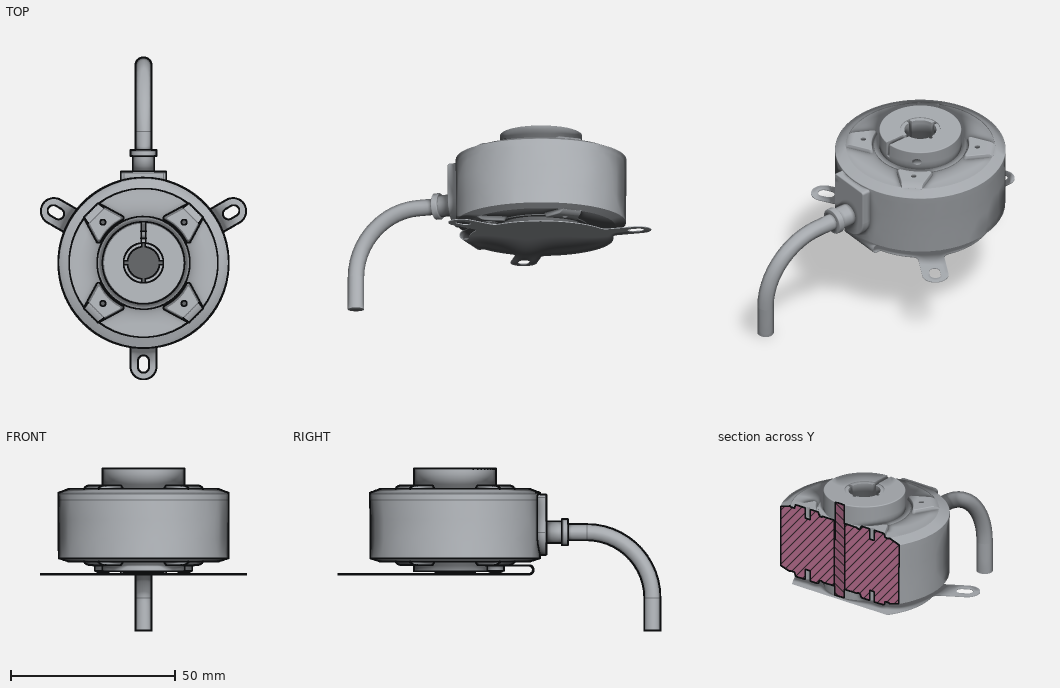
import cadquery as cq
import math

housing_height = 22.3
rim_radius = 26.0
barrel_base_radius = 25.9
face_radius = 22.65
base_bevel_height = 1.1
parting_height = 18.9
top_bevel_height = 1.3
rim_round = 0.3
ring_radius = 14.1
recess_depth = 0.3

pad_rise = 1.0
pad_inner_radius = 14.5
pad_inner_half_width = 6.0
pad_outer_half_width = 3.1
pad_flat_end = 20.3
pad_outer_end = 22.65
pad_ramp_bulge = 0.2
pad_side_taper = 15
pad_corner_round = 0.8
pad_top_round = 0.3
pad_hole_radius = 0.83
pad_hole_depth = 3.4
screw_offset = 12.4
pad_angles = [45, 135, 225, 315]

block_half_width = 7.0
block_top = 20.5
block_face = 27.8
block_root = 20.6
block_corner_round = 0.9
block_face_round = 0.4
cable_axis_height = 9.0

hub_diameter = 25.0
hub_top = 28.5
hub_bottom = -2.9
hub_edge_round = 0.3
hub_slot_width = 1.5
hub_slot_depth = 4.9
clamp_axis_y = 8.5
clamp_axis_height = 25.0
clamp_screw_radius = 1.1
clamp_screw_half_length = 7.4

sleeve_radius = 6.1
sleeve_recess = 0.3
sleeve_bore_radius = 4.9
sleeve_bottom = -3.2
sleeve_floor = 1.0
slit_width = 1.2

cable_diameter = 5.0
bend_radius = 20.0
cable_drop = 10.0
cable_reach = 62.6
nipple_radius = 3.3
collar_radius = 4.0
collar_start = 32.5
collar_length = 2.0
collar_round = 0.3

sheet = 0.25
plate_bottom = -3.9
plate_radius = 22.1
ear_half_width = 4.0
ear_centre_radius = 31.5
ear_root_round = 2.0
ear_angles = [-90, 30, 150]
ear_slot_width = 3.3
ear_slot_length = 5.2
ear_slot_radius = 30.8
fold_half_width = 7.0
fold_end = 23.9
leaf_lobe_radius = 2.9
leaf_clearance_radius = 13.3

head_radius = 2.55
head_height = 2.0
head_crown_height = 0.5
head_tip_radius = 1.5
shank_length = 2.9

hub_radius = hub_diameter / 2
cable_radius = cable_diameter / 2
sleeve_top = hub_top - sleeve_recess
bend_start = cable_reach - cable_radius - bend_radius
pad_base = housing_height - recess_depth
pad_height = pad_rise + recess_depth
pad_underside = -pad_rise
leaf_bottom = pad_underside - sheet
fold_radius = (pad_underside - plate_bottom) / 2
fold_centre_y = fold_end - fold_radius
fold_centre_z = plate_bottom + fold_radius
screw_places = [(-screw_offset, screw_offset), (screw_offset, screw_offset)]


def cylinder_up(radius, bottom, top, x=0, y=0):
    """Upright cylinder between two heights."""
    return cq.Workplane("XY", origin=(x, y, bottom)).circle(radius).extrude(top - bottom)


def housing_shell():
    """Turned outer form: base bevel, slightly tapered barrel, straight rim and top bevel."""
    rim_top = housing_height - top_bevel_height
    shell = (
        cq.Workplane("XZ")
        .moveTo(0, 0)
        .lineTo(face_radius, 0)
        .lineTo(barrel_base_radius, base_bevel_height)
        .lineTo(rim_radius, parting_height)
        .lineTo(rim_radius, rim_top)
        .lineTo(face_radius, housing_height)
        .lineTo(0, housing_height)
        .close()
        .revolve(360, (0, 0, 0), (0, 1, 0))
    )
    rim_edge = cq.selectors.BoxSelector(
        (-rim_radius, -rim_radius, rim_top - rim_round),
        (rim_radius, rim_radius, rim_top + rim_round),
    )
    return shell.edges(rim_edge).fillet(rim_round)


def screw_pad():
    """Pad on the top face along +X: drafted sides, concave inner end and a ramp at the outer end."""
    inner_corner_x = math.sqrt(pad_inner_radius**2 - pad_inner_half_width**2)
    side_slope = (pad_inner_half_width - pad_outer_half_width) / (pad_outer_end - inner_corner_x)
    far_half_width = pad_outer_half_width - side_slope * (rim_radius - pad_outer_end)
    drafted = (
        cq.Workplane("XY", origin=(0, 0, pad_base))
        .moveTo(rim_radius, -far_half_width)
        .lineTo(rim_radius, far_half_width)
        .lineTo(inner_corner_x, pad_inner_half_width)
        .threePointArc((pad_inner_radius, 0), (inner_corner_x, -pad_inner_half_width))
        .close()
        .extrude(pad_height, taper=pad_side_taper)
    )
    inner_corners = cq.selectors.BoxSelector(
        (0, -rim_radius, pad_base + pad_height / 4),
        (pad_flat_end, rim_radius, pad_base + 3 * pad_height / 4),
    )
    drafted = drafted.edges(inner_corners).fillet(pad_corner_round)
    drafted = drafted.faces(">Z").edges().fillet(pad_top_round)
    side_profile = (
        cq.Workplane("XZ", origin=(0, rim_radius, pad_base))
        .moveTo(0, 0)
        .lineTo(pad_outer_end, 0)
        .lineTo(pad_outer_end, recess_depth)
        .sagittaArc((pad_flat_end, pad_height), -pad_ramp_bulge)
        .lineTo(0, pad_height)
        .close()
        .extrude(2 * rim_radius)
    )
    return drafted.intersect(side_profile)


def outlet_block():
    """Block with a round lower end, centred on the cable axis."""
    block = (
        cq.Workplane("XZ", origin=(0, block_face, 0))
        .moveTo(-block_half_width, cable_axis_height)
        .lineTo(-block_half_width, block_top)
        .lineTo(block_half_width, block_top)
        .lineTo(block_half_width, cable_axis_height)
        .threePointArc((0, cable_axis_height - block_half_width), (-block_half_width, cable_axis_height))
        .close()
        .extrude(block_face - block_root)
    )
    block = block.edges("|Y and >Z").fillet(block_corner_round)
    return block.faces(">Y").edges().fillet(block_face_round)


def on_both_faces(housing, features, combine):
    """Combine features on the top face, and their mirror images on the bottom face, with the housing."""
    for feature in features:
        housing = combine(housing, feature)
        housing = combine(housing, feature.mirror("XY", (0, 0, housing_height / 2)))
    return housing


def build_housing():
    housing = housing_shell().union(outlet_block())
    recess = cylinder_up(face_radius, pad_base, housing_height).cut(
        cylinder_up(ring_radius, pad_base, housing_height)
    )
    pad = screw_pad()
    pad_top = pad_base + pad_height
    hole = cylinder_up(
        pad_hole_radius, pad_top - pad_hole_depth, pad_top, x=screw_offset * math.sqrt(2)
    )
    pads = [pad.rotate((0, 0, 0), (0, 0, 1), angle) for angle in pad_angles]
    holes = [hole.rotate((0, 0, 0), (0, 0, 1), angle) for angle in pad_angles]

    housing = on_both_faces(housing, [recess], cq.Workplane.cut)
    housing = on_both_faces(housing, pads, cq.Workplane.union)
    housing = on_both_faces(housing, holes, cq.Workplane.cut)
    return housing.cut(cylinder_up(hub_radius, 0, housing_height))


def clamp_cylinder(start):
    """Cylinder on the clamp screw axis, from a given X to the +X end of the screw."""
    return (
        cq.Workplane("YZ", origin=(start, clamp_axis_y, clamp_axis_height))
        .circle(clamp_screw_radius)
        .extrude(clamp_screw_half_length - start)
    )


def build_hub():
    hub = cylinder_up(hub_radius, hub_bottom, hub_top).faces(">Z").edges().fillet(hub_edge_round)
    hub = hub.cut(cylinder_up(sleeve_radius, hub_bottom, hub_top))
    slot = cq.Workplane("XY", origin=(0, 0, hub_top - hub_slot_depth)).box(
        hub_slot_width, hub_radius, hub_slot_depth, centered=(True, False, False)
    )
    return hub.cut(slot).cut(clamp_cylinder(-hub_radius))


def build_clamp_screw():
    return clamp_cylinder(-clamp_screw_half_length)


def build_sleeve():
    """Closed-bottom sleeve with crossed slits down to its floor."""
    floor_top = sleeve_bottom + sleeve_floor
    sleeve = cylinder_up(sleeve_radius, sleeve_bottom, sleeve_top)
    sleeve = sleeve.cut(cylinder_up(sleeve_bore_radius, floor_top, sleeve_top))
    slit_length = 2 * sleeve_radius
    for length_x, length_y in ((slit_length, slit_width), (slit_width, slit_length)):
        slit = cq.Workplane("XY", origin=(0, 0, floor_top)).box(
            length_x, length_y, sleeve_top - floor_top, centered=(True, True, False)
        )
        sleeve = sleeve.cut(slit)
    return sleeve


def cylinder_out(radius, start, end):
    """Cylinder along +Y on the cable axis."""
    return (
        cq.Workplane("XZ", origin=(0, start, cable_axis_height)).circle(radius).extrude(start - end)
    )


def build_cable():
    """Strain relief nipple and collar, then the cable turning down through a right angle."""
    bend_end_y = bend_start + bend_radius
    bend_end_z = cable_axis_height - bend_radius
    diagonal = bend_radius * math.sqrt(0.5)
    path = (
        cq.Workplane("YZ")
        .moveTo(collar_start, cable_axis_height)
        .lineTo(bend_start, cable_axis_height)
        .threePointArc((bend_start + diagonal, bend_end_z + diagonal), (bend_end_y, bend_end_z))
        .lineTo(bend_end_y, bend_end_z - cable_drop)
    )
    cable = (
        cq.Workplane("XZ", origin=(0, collar_start, cable_axis_height)).circle(cable_radius).sweep(path)
    )
    nipple = cylinder_out(nipple_radius, block_face, collar_start)
    collar = cylinder_out(collar_radius, collar_start, collar_start + collar_length)
    collar = collar.edges().fillet(collar_round)
    return nipple.union(collar).union(cable)


def bracket_plate():
    """Flat disc with three slotted ears and a tab reaching the fold."""
    plate = cylinder_up(plate_radius, plate_bottom, plate_bottom + sheet)
    level = cq.Workplane("XY", origin=(0, 0, plate_bottom))
    arm = level.box(ear_centre_radius, 2 * ear_half_width, sheet, centered=(False, True, False))
    tip = level.center(ear_centre_radius, 0).circle(ear_half_width).extrude(sheet)
    ear = arm.union(tip)
    slot = level.center(ear_slot_radius, 0).slot2D(ear_slot_length, ear_slot_width).extrude(sheet)
    for angle in ear_angles:
        plate = plate.union(ear.rotate((0, 0, 0), (0, 0, 1), angle))
    roots = cq.selectors.BoxSelector(
        (-plate_radius, -plate_radius, plate_bottom), (plate_radius, plate_radius, 0)
    )
    plate = plate.edges("|Z").edges(roots).fillet(ear_root_round)
    for angle in ear_angles:
        plate = plate.cut(slot.rotate((0, 0, 0), (0, 0, 1), angle))
    tab = level.box(2 * fold_half_width, fold_centre_y, sheet, centered=(True, False, False))
    return plate.union(tab)


def bracket_fold():
    """Half-round fold that joins the plate to the leaf above it."""
    inner_radius = fold_radius - sheet
    return (
        cq.Workplane("YZ", origin=(-fold_half_width, fold_centre_y, fold_centre_z))
        .moveTo(0, -fold_radius)
        .threePointArc((fold_radius, 0), (0, fold_radius))
        .lineTo(0, inner_radius)
        .threePointArc((inner_radius, 0), (0, -inner_radius))
        .close()
        .extrude(2 * fold_half_width)
    )


def bracket_leaf():
    """Leaf that widens from the fold to a lobe under each screw and clears the hub."""
    run_x = screw_offset - fold_half_width
    run_y = screw_offset - fold_centre_y
    reach = math.hypot(run_x, run_y)
    tangent_angle = math.atan2(run_y, run_x) + math.pi - math.acos(leaf_lobe_radius / reach)
    tangent_x = screw_offset + leaf_lobe_radius * math.cos(tangent_angle)
    tangent_y = screw_offset + leaf_lobe_radius * math.sin(tangent_angle)
    level = cq.Workplane("XY", origin=(0, 0, leaf_bottom))
    leaf = level.polyline(
        [
            (-fold_half_width, fold_centre_y),
            (fold_half_width, fold_centre_y),
            (tangent_x, tangent_y),
            (screw_offset, screw_offset),
            (-screw_offset, screw_offset),
            (-tangent_x, tangent_y),
        ]
    ).close().extrude(sheet)
    lobes = level.pushPoints(screw_places).circle(leaf_lobe_radius).extrude(sheet)
    clearance = level.circle(leaf_clearance_radius).extrude(sheet)
    holes = level.pushPoints(screw_places).circle(pad_hole_radius).extrude(sheet)
    return leaf.union(lobes).cut(clearance).cut(holes)


def build_bracket():
    return bracket_plate().union(bracket_fold()).union(bracket_leaf())


def build_bracket_screw(x, y):
    """Screw with a crowned head under the leaf and a shank up into the pad hole."""
    head_bottom = leaf_bottom - head_height
    crown_start = head_bottom + head_crown_height
    shank_top = leaf_bottom + shank_length
    screw = (
        cq.Workplane("XZ")
        .moveTo(0, head_bottom)
        .lineTo(head_tip_radius, head_bottom)
        .lineTo(head_radius, crown_start)
        .lineTo(head_radius, leaf_bottom)
        .lineTo(pad_hole_radius, leaf_bottom)
        .lineTo(pad_hole_radius, shank_top)
        .lineTo(0, shank_top)
        .close()
        .revolve(360, (0, 0, 0), (0, 1, 0))
    )
    return screw.translate((x, y, 0))


housing = build_housing()
hub = build_hub()
clamp_screw = build_clamp_screw()
sleeve = build_sleeve()
cable = build_cable()
bracket = build_bracket()
bracket_screws = [build_bracket_screw(x, y).val() for x, y in screw_places]

result = cq.Compound.makeCompound(
    [
        housing.val(),
        hub.val(),
        clamp_screw.val(),
        sleeve.val(),
        cable.val(),
        bracket.val(),
        *bracket_screws,
    ]
)